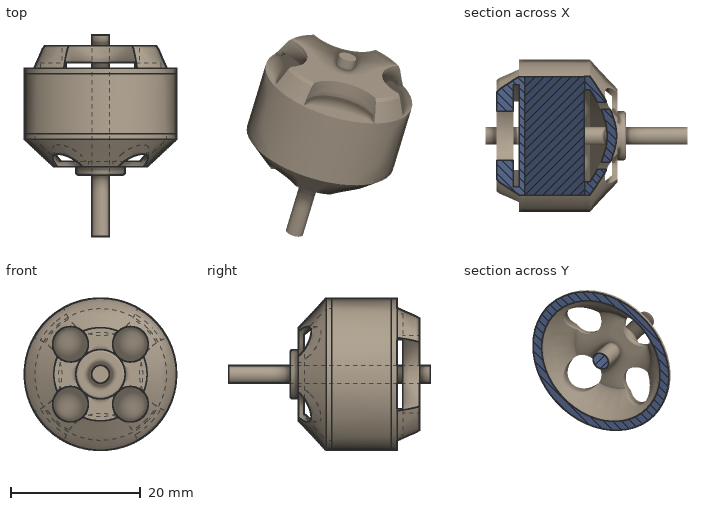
import cadquery as cq
import math

SHAFT_LENGTH = 31.12
COLLAR_FRONT = 9.5
NOSE_FRONT = 10.77
CONE_END = 15.03
BELL_END = 15.87
CORE_END = 25.1
DISC_BACK = 26.0
MOUNT_BEVEL = 28.95
MOUNT_BACK = 29.45

BODY_DIAMETER = 23.5
BODY_RADIUS = BODY_DIAMETER / 2
SHAFT_RADIUS = 1.37
COLLAR_RADIUS = 3.8
COLLAR_FILLET = 0.4
NOSE_RADIUS = 7.2

NOSE_THICKNESS = 0.87
CAVITY_NOSE_RADIUS = 6.5
RIM_WALL = 1.6
RIM_INNER_RADIUS = BODY_RADIUS - RIM_WALL

VENT_RADIUS = 2.75
VENT_ANGLE = 45
VENT_CIRCLE = COLLAR_RADIUS + VENT_RADIUS

MOUNT_BASE_RADIUS = 11.7
MOUNT_BEVEL_RADIUS = 10.3
MOUNT_BACK_RADIUS = 9.9
MOUNT_PLATE_THICKNESS = 2.6
FOOT_INNER_RADIUS = 10.7
SCALLOP_RADIUS = 5.88
SCALLOP_OFFSET = 11.85
SCALLOP_ANGLE = 0

QUARTER_TURN = 90


def turned(points):
    """Solid of revolution about Y from (radius, y) points."""
    return cq.Workplane("XY").polyline(points).close().revolve(360, (0, 0, 0), (0, 1, 0))


def cylinder(radius, start, end, x=0.0, z=0.0):
    """Cylinder parallel to Y, between two stations."""
    solid = cq.Solid.makeCylinder(radius, end - start, cq.Vector(x, start, z), cq.Vector(0, 1, 0))
    return cq.Workplane(obj=solid)


def around_axis(radius, circle, first_angle, start, end):
    """Four cylinders evenly spaced around the Y axis."""
    cylinders = []
    for i in range(4):
        angle = math.radians(first_angle + i * QUARTER_TURN)
        x = circle * math.cos(angle)
        z = circle * math.sin(angle)
        cylinders.append(cylinder(radius, start, end, x, z))
    return cylinders


def make_shaft():
    return cylinder(SHAFT_RADIUS, 0, SHAFT_LENGTH)


def make_bell():
    """Conical front shell with a collar and four vents, bored for the shaft."""
    shell = turned([
        (0, NOSE_FRONT),
        (NOSE_RADIUS, NOSE_FRONT),
        (BODY_RADIUS, CONE_END),
        (BODY_RADIUS, BELL_END),
        (RIM_INNER_RADIUS, BELL_END),
        (RIM_INNER_RADIUS, CONE_END),
        (CAVITY_NOSE_RADIUS, NOSE_FRONT + NOSE_THICKNESS),
        (0, NOSE_FRONT + NOSE_THICKNESS),
    ])
    for vent in around_axis(VENT_RADIUS, VENT_CIRCLE, VENT_ANGLE, NOSE_FRONT, BELL_END):
        shell = shell.cut(vent)
    collar = cylinder(COLLAR_RADIUS, COLLAR_FRONT, NOSE_FRONT + NOSE_THICKNESS)
    collar = collar.faces("<Y").edges().fillet(COLLAR_FILLET)
    return shell.union(collar).cut(make_shaft())


def make_core():
    """Solid cylindrical core between the bell and the base, bored for the shaft."""
    return cylinder(BODY_RADIUS, BELL_END, CORE_END).cut(make_shaft())


def make_base():
    """Rear disc carrying the four-footed mount, bored for the shaft."""
    mount = turned([
        (0, DISC_BACK),
        (MOUNT_BASE_RADIUS, DISC_BACK),
        (MOUNT_BEVEL_RADIUS, MOUNT_BEVEL),
        (MOUNT_BACK_RADIUS, MOUNT_BACK),
        (0, MOUNT_BACK),
    ])
    plate_front = MOUNT_BACK - MOUNT_PLATE_THICKNESS
    mount = mount.cut(cylinder(FOOT_INNER_RADIUS, DISC_BACK, plate_front))
    for scallop in around_axis(SCALLOP_RADIUS, SCALLOP_OFFSET, SCALLOP_ANGLE, DISC_BACK, MOUNT_BACK):
        mount = mount.cut(scallop)
    disc = cylinder(BODY_RADIUS, CORE_END, DISC_BACK)
    return disc.union(mount).cut(make_shaft())


shaft = make_shaft()
bell = make_bell()
core = make_core()
base = make_base()

result = cq.Compound.makeCompound([shaft.val(), bell.val(), core.val(), base.val()])